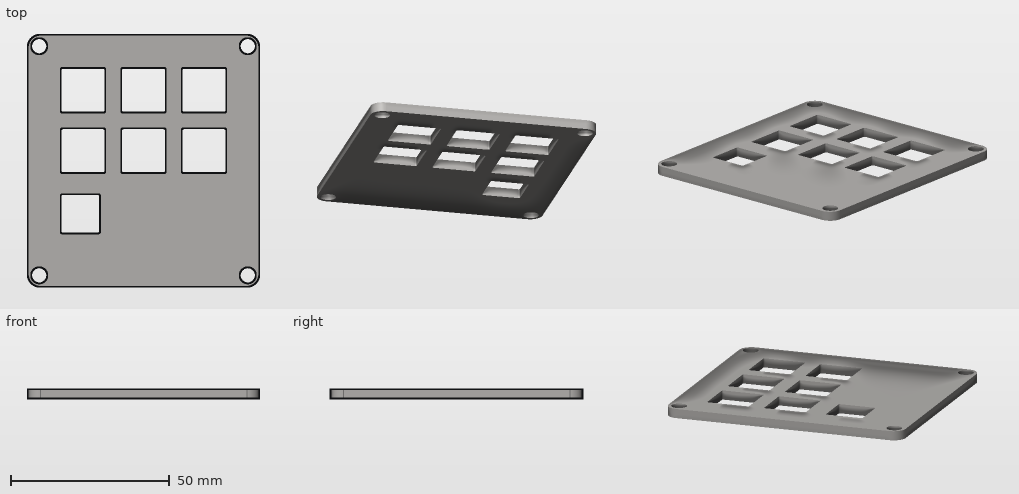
import cadquery as cq

plate_width = 73.01
plate_length = 79.49
plate_thickness = 3.0
plate_corner_radius = 4.0

mount_hole_diameter = 5.0
mount_hole_inset = 3.65

switch_size = 14.0
switch_pitch = 19.05
switch_columns = 3
switch_rows = 2
first_row_y = 22.22
opening_corner_radius = 0.5

small_size = 12.3
small_center_y = -16.7

first_column_x = -switch_pitch * (switch_columns - 1) / 2
grid_left = first_column_x - switch_size / 2

small_center_x = grid_left + small_size / 2


def make_plate():
    """Flat plate with rounded corners, its underside on Z = 0."""
    plate = cq.Workplane("XY").rect(plate_width, plate_length).extrude(plate_thickness)
    return plate.edges("|Z").fillet(plate_corner_radius)


def square_cutter(center_x, center_y, size):
    """Square prism with rounded corners, as thick as the plate."""
    prism = cq.Workplane("XY").center(center_x, center_y).rect(size, size).extrude(plate_thickness)
    return prism.edges("|Z").fillet(opening_corner_radius)


def cut_switch_openings(body):
    for column in range(switch_columns):
        for row in range(switch_rows):
            center_x = first_column_x + column * switch_pitch
            center_y = first_row_y - row * switch_pitch
            body = body.cut(square_cutter(center_x, center_y, switch_size))
    return body


def cut_small_opening(body):
    return body.cut(square_cutter(small_center_x, small_center_y, small_size))


def cut_mount_holes(body):
    spacing_x = plate_width - 2 * mount_hole_inset
    spacing_y = plate_length - 2 * mount_hole_inset
    holes = (
        cq.Workplane("XY")
        .rect(spacing_x, spacing_y, forConstruction=True)
        .vertices()
        .circle(mount_hole_diameter / 2)
        .extrude(plate_thickness)
    )
    return body.cut(holes)


result = make_plate()
result = cut_switch_openings(result)
result = cut_small_opening(result)
result = cut_mount_holes(result)